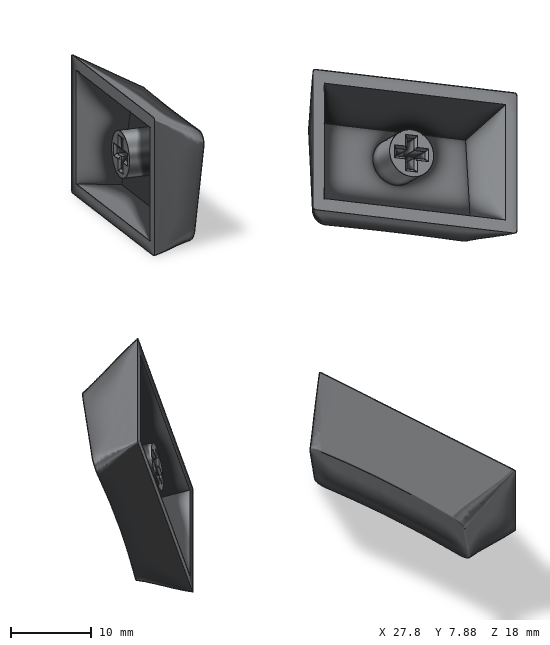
import cadquery as cq
import math

width = 27.8
height = 18.0
back_width = 21.91
back_height = 14.02
back_depth_low = 6.4
back_depth_high = 7.98
open_corner_radius = 0.35
back_corner_radius = 1.75
section_count = 7
dish_depth = 0.45
rim_radius = 0.17

wall = 1.55
cavity_top = 16.35
floor_low_width = 19.9
floor_high_width = 19.7
floor_top = 13.07
floor_depth_low = 5.15

stem_diameter = 6.0
stem_level = 8.98
stem_recess = 1.0
cross_span = 4.65
cross_arm = 1.65
cross_lead_in = 0.33
cross_depth = 3.35

tilt_slope = (back_depth_high - back_depth_low) / back_height


def tilted_plane(depth, slope):
    """Plane through (0, depth, 0); local x is X and local y climbs the slope."""
    return cq.Plane(origin=(0, depth, 0), xDir=(1, 0, 0), normal=(0, -1, slope))


def rounded_section(fraction):
    """Rounded rectangle at a fraction of the way from the open side to the back."""
    low = back_depth_low * fraction
    rise = (back_depth_high - back_depth_low) * fraction
    top = height + (back_height - height) * fraction
    half = (width + (back_width - width) * fraction) / 2
    length = math.hypot(top, rise)
    blend = fraction**2 * (3 - 2 * fraction)
    radius = open_corner_radius + (back_corner_radius - open_corner_radius) * blend
    mid = radius * (1 - math.sqrt(0.5))
    return (
        cq.Workplane(tilted_plane(low, rise / top))
        .moveTo(radius - half, 0)
        .lineTo(half - radius, 0)
        .threePointArc((half - mid, mid), (half, radius))
        .lineTo(half, length - radius)
        .threePointArc((half - mid, length - mid), (half - radius, length))
        .lineTo(radius - half, length)
        .threePointArc((mid - half, length - mid), (-half, length - radius))
        .lineTo(-half, radius)
        .threePointArc((mid - half, mid), (radius - half, 0))
        .close()
        .val()
    )


def make_shell():
    sections = [rounded_section(i / (section_count - 1)) for i in range(section_count)]
    return cq.Workplane(cq.Solid.makeLoft(sections))


def make_dish():
    """Cylinder along the slope of the back face, hollowing it between its sides."""
    half = back_width / 2
    radius = (half**2 + dish_depth**2) / (2 * dish_depth)
    origin = (0, back_depth_low, 0)
    along_slope = (0, tilt_slope, 1)
    plane = cq.Plane(origin=origin, xDir=(1, 0, 0), normal=along_slope)
    return (
        cq.Workplane(plane)
        .center(0, radius - dish_depth)
        .circle(radius)
        .extrude(height, both=True)
    )


def make_cavity():
    opening = cq.Wire.makePolygon(
        [
            cq.Vector(wall - width / 2, 0, wall),
            cq.Vector(width / 2 - wall, 0, wall),
            cq.Vector(width / 2 - wall, 0, cavity_top),
            cq.Vector(wall - width / 2, 0, cavity_top),
        ],
        close=True,
    )
    floor_depth_high = floor_depth_low + tilt_slope * (floor_top - wall)
    floor = cq.Wire.makePolygon(
        [
            cq.Vector(-floor_low_width / 2, floor_depth_low, wall),
            cq.Vector(floor_low_width / 2, floor_depth_low, wall),
            cq.Vector(floor_high_width / 2, floor_depth_high, floor_top),
            cq.Vector(-floor_high_width / 2, floor_depth_high, floor_top),
        ],
        close=True,
    )
    return cq.Workplane(cq.Solid.makeLoft([opening, floor], True))


def stem_face():
    """Workplane on the stem's end, facing into the part."""
    origin = (0, stem_recess, stem_level)
    return cq.Workplane(cq.Plane(origin=origin, xDir=(1, 0, 0), normal=(0, 1, 0)))


def make_stem():
    length = back_depth_low - stem_recess
    return stem_face().circle(stem_diameter / 2).extrude(length)


def socket_cross(inset):
    """Cross outline with every wall moved in by the inset."""
    span = cross_span - 2 * inset
    arm = cross_arm - 2 * inset
    return cq.Sketch().rect(span, arm).rect(arm, span).clean()


def make_socket():
    lead_in = stem_face().placeSketch(socket_cross(0)).extrude(cross_lead_in, taper=45)
    straight = stem_face().placeSketch(socket_cross(cross_lead_in)).extrude(cross_depth)
    return lead_in.union(straight)


shell = make_shell().cut(make_dish())
shell = shell.faces(">Y").edges().fillet(rim_radius)
result = shell.cut(make_cavity()).union(make_stem()).cut(make_socket())